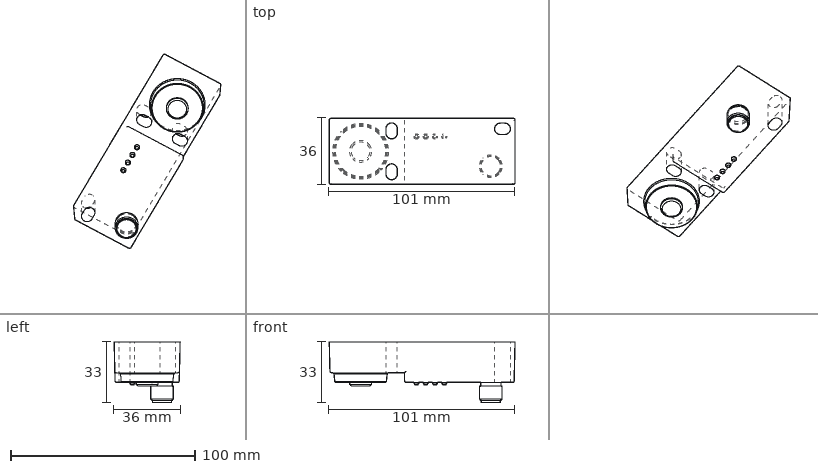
import cadquery as cq

LENGTH = 101.0
WIDTH = 36.0
DEEP_DEPTH = 22.0
SHALLOW_DEPTH = 16.8
STEP_X = -9.6
DRAFT_ANGLE = 1.3
EDGE_RADIUS = 1.0

SLOT_WIDTH = 6.1
SLOT_LENGTH = 8.5
PAIR_SLOT_X = -16.6
PAIR_SLOT_Y = 11.1
CORNER_SLOT_X = 43.6
CORNER_SLOT_Y = 12.2

KNOB_X = -33.4
KNOB_TOP_RADIUS = 14.5
KNOB_BOTTOM_RADIUS = 14.0
KNOB_FLARE = 0.6
KNOB_CHAMFER = 0.4

BUTTON_RADIUS = 6.0
BUTTON_HEIGHT = 1.9
BUTTON_CHAMFER = 0.9

LAMP_COUNT = 4
LAMP_PITCH = 5.0
FIRST_LAMP_X = -3.1
LAMP_Y = 8.1
LAMP_BASE_RADIUS = 1.4
LAMP_TIP_RADIUS = 0.8
LAMP_HEIGHT = 1.3
LAMP_RIM_HEIGHT = 0.3

CONNECTOR_X = 37.3
CONNECTOR_Y = -8.1
NECK_RADIUS = 5.6
SLEEVE_RADIUS = 6.2
TIP_RADIUS = 5.3
SLEEVE_TOP_DEPTH = 23.9
SLEEVE_BOTTOM_DEPTH = 31.7
SLEEVE_CHAMFER = 0.6
TOTAL_DEPTH = 33.0


def turned(profile, x, y):
    """Revolve a list of (radius, depth below the top face) points about a vertical axis."""
    points = [(radius, -depth) for radius, depth in profile]
    start, end = points[0], points[-1]
    outline = [(0, start[1]), *points, (0, end[1])]
    solid = cq.Workplane("XZ").polyline(outline).close().revolve(360, (0, 0, 0), (0, 1, 0))
    return solid.translate((x, y, 0))


def make_shell():
    """Drafted block with a step in its underside and rounded edges below the top face."""
    block = cq.Workplane("XY").rect(LENGTH, WIDTH).extrude(-DEEP_DEPTH, taper=DRAFT_ANGLE)
    step_height = DEEP_DEPTH - SHALLOW_DEPTH
    step_length = LENGTH / 2 + STEP_X
    step = cq.Workplane("XY", origin=(-LENGTH / 2, -WIDTH / 2, -DEEP_DEPTH)).box(
        step_length, WIDTH, step_height, centered=False
    )
    stepped = block.cut(step)
    inner_corner = cq.selectors.NearestToPointSelector((STEP_X, 0, -SHALLOW_DEPTH))
    rounded_edges = stepped.edges("not(>Z)").edges(cq.selectors.InverseSelector(inner_corner))
    return rounded_edges.fillet(EDGE_RADIUS)


def make_slot(x, y, angle):
    """Cutter for one mounting slot; the angle turns its long axis away from X."""
    return (
        cq.Workplane("XY")
        .slot2D(SLOT_LENGTH, SLOT_WIDTH, angle)
        .extrude(-DEEP_DEPTH)
        .translate((x, y, 0))
    )


def make_knob():
    """Tapered disc, flared at its root and chamfered at its lower rim."""
    return turned(
        [
            (KNOB_TOP_RADIUS + KNOB_FLARE, SHALLOW_DEPTH),
            (KNOB_TOP_RADIUS, SHALLOW_DEPTH + KNOB_FLARE),
            (KNOB_BOTTOM_RADIUS, DEEP_DEPTH - KNOB_CHAMFER),
            (KNOB_BOTTOM_RADIUS - KNOB_CHAMFER, DEEP_DEPTH),
        ],
        KNOB_X,
        0,
    )


def make_button():
    """Short chamfered disc on the underside of the knob."""
    bottom = DEEP_DEPTH + BUTTON_HEIGHT
    return turned(
        [
            (BUTTON_RADIUS, DEEP_DEPTH),
            (BUTTON_RADIUS, bottom - BUTTON_CHAMFER),
            (BUTTON_RADIUS - BUTTON_CHAMFER, bottom),
        ],
        KNOB_X,
        0,
    )


def make_lamp(x):
    """Small round lamp narrowing to a flat tip."""
    return turned(
        [
            (LAMP_BASE_RADIUS, DEEP_DEPTH),
            (LAMP_BASE_RADIUS, DEEP_DEPTH + LAMP_RIM_HEIGHT),
            (LAMP_TIP_RADIUS, DEEP_DEPTH + LAMP_HEIGHT),
        ],
        x,
        LAMP_Y,
    )


def make_housing():
    """Shell with knob, button and lamps, pierced by the mounting slots."""
    housing = make_shell().union(make_knob()).union(make_button())
    for index in range(LAMP_COUNT):
        housing = housing.union(make_lamp(FIRST_LAMP_X + index * LAMP_PITCH))
    for side in (-1, 1):
        housing = housing.cut(make_slot(PAIR_SLOT_X, side * PAIR_SLOT_Y, 90))
    return housing.cut(make_slot(CORNER_SLOT_X, CORNER_SLOT_Y, 0))


def make_connector():
    """Neck, wider coupling sleeve and narrower tip, resting against the deep underside."""
    return turned(
        [
            (NECK_RADIUS, DEEP_DEPTH),
            (NECK_RADIUS, SLEEVE_TOP_DEPTH),
            (SLEEVE_RADIUS, SLEEVE_TOP_DEPTH),
            (SLEEVE_RADIUS, SLEEVE_BOTTOM_DEPTH - SLEEVE_CHAMFER),
            (SLEEVE_RADIUS - SLEEVE_CHAMFER, SLEEVE_BOTTOM_DEPTH),
            (TIP_RADIUS, SLEEVE_BOTTOM_DEPTH),
            (TIP_RADIUS, TOTAL_DEPTH),
        ],
        CONNECTOR_X,
        CONNECTOR_Y,
    )


housing = make_housing()
connector = make_connector()
result = cq.Compound.makeCompound([housing.val(), connector.val()])